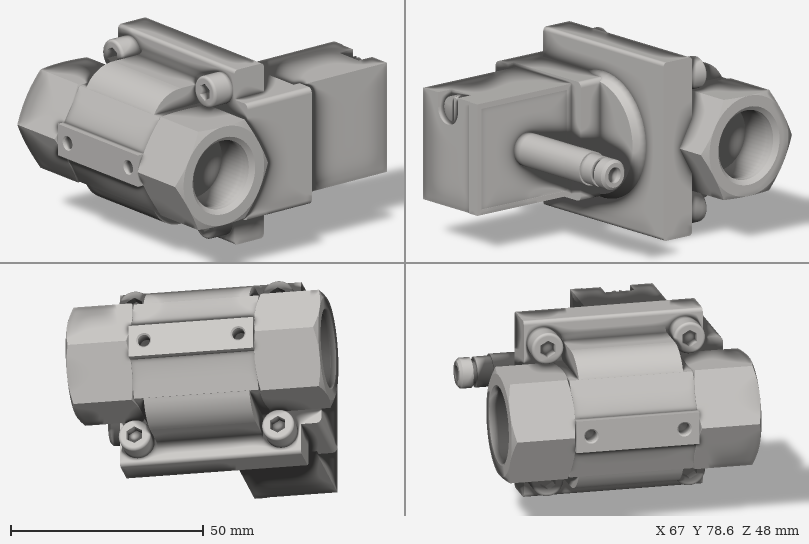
import cadquery as cq
import math


BODY_LENGTH = 67.0
HEX_FLATS = 27.0
HEX_END_LENGTH = 17.2
MIDDLE_FLATS = 26.4
MIDDLE_LENGTH = 33.0
OUTER_CHAMFER_LENGTH = 1.0
OUTER_CHAMFER_DIAMETER = 27.0
INNER_CHAMFER_LENGTH = 0.8
INNER_CHAMFER_DIAMETER = 27.0
BORE_DIAMETER = 18.63
BORE_DEPTH = 12.3
BORE_MOUTH_DIAMETER = 21.0

PAD_WIDTH = 8.6
PAD_FACE_Y = -15.0
PAD_HOLE_SPACING = 25.0
PAD_HOLE_DIAMETER = 3.24
PAD_HOLE_MOUTH = 4.0
PAD_HOLE_DEPTH = 4.0

PLATE_SIDE = 48.0
PLATE_FRONT_Y = 11.3
PLATE_BACK_Y = 21.1
PLATE_EDGE_RADIUS = 1.0

CHAMBER_LENGTH = 28.0
CHAMBER_HALF_HEIGHT = 18.6
CHAMBER_ROUND_RADIUS = 10.0
CHAMBER_ROUND_Y = 1.35
CHAMBER_FILLET = 1.4
NECK_FILLET = 2.0

SCREW_SPACING_X = 38.0
SCREW_SPACING_Z = 36.0
SCREW_HEAD_DIAMETER = 8.5
SCREW_HEAD_HEIGHT = 6.0
SCREW_HEAD_ROUND = 0.75
SOCKET_FLATS = 4.0
SOCKET_DEPTH = 3.0

BOSS_BASE_DIAMETER = 34.1
BOSS_TOP_DIAMETER = 30.6
BOSS_HEIGHT = 3.1

HOUSING_LEFT_X = -2.3
HOUSING_RIGHT_X = 29.4
HOUSING_HEIGHT = 32.0
HOUSING_BACK_Y = 30.8
HOUSING_EDGE_RADIUS = 1.4
TAB_LEFT_X = 24.4
TAB_BACK_Y = 32.8

PLUG_LEFT_X = 1.5
PLUG_RIGHT_X = 23.5
PLUG_HEIGHT = 30.0
PLUG_BACK_Y = 62.7
LIP_BACK_Y = 63.0
LIP_LENGTH = 3.3
FRAME_WIDTH = 1.45
FRAME_DEPTH = 0.2

RECESS_X = 13.55
RECESS_WIDTH = 7.9
RECESS_FLOOR_Y = 58.1
RECESS_CENTRE_Z = 11.0
PLUG_SCREW_DIAMETER = 6.8
PLUG_SCREW_HEIGHT = 3.0
PLUG_SCREW_SLOT_WIDTH = 1.0
PLUG_SCREW_SLOT_DEPTH = 1.8

CABLE_Y = 45.85
CABLE_DIAMETER = 8.9
SLEEVE_DIAMETER = 9.0
SLEEVE_START_X = -18.5
TIP_START_X = -24.35
TIP_DIAMETER = 8.1
TIP_END_X = -33.3
TIP_CHAMFER = 0.75
GROOVE_START_X = -28.6
GROOVE_WIDTH = 1.1
GROOVE_DIAMETER = 6.0
CABLE_HOLE_DIAMETER = 4.3
CABLE_HOLE_DEPTH = 5.0

DRILL_POINT_ANGLE = 118.0


def box(x_range, y_range, z_range):
    """Box spanning the given (low, high) ranges."""
    size = [high - low for low, high in (x_range, y_range, z_range)]
    return cq.Workplane("XY").box(*size, centered=False).translate((x_range[0], y_range[0], z_range[0]))


def centred(length):
    return (-length / 2, length / 2)


def rod(start, direction, diameter, length):
    return cq.Workplane(cq.Solid.makeCylinder(diameter / 2, length, cq.Vector(*start), cq.Vector(*direction)))


def cone(start, direction, start_diameter, end_diameter, length):
    solid = cq.Solid.makeCone(
        start_diameter / 2, end_diameter / 2, length, cq.Vector(*start), cq.Vector(*direction)
    )
    return cq.Workplane(solid)


def drilled_hole(start, direction, diameter, depth):
    """Cylinder ending in a drill point, used as a cutting tool."""
    point_length = diameter / 2 / math.tan(math.radians(DRILL_POINT_ANGLE / 2))
    bottom = [s + d * depth for s, d in zip(start, direction)]
    return rod(start, direction, diameter, depth).union(cone(bottom, direction, diameter, 0, point_length))


def hex_bar(flats, x_start, length):
    """Hexagonal bar along X with two flats facing up and down."""
    corners = flats / math.cos(math.pi / 6)
    return cq.Workplane("YZ").polygon(6, corners).extrude(length).translate((x_start, 0, 0))


def turning_blank(x_outer, x_inner):
    """Round blank whose conical ends trim the corners of a left hexagonal end."""
    corner_radius = HEX_FLATS / math.cos(math.pi / 6) / 2
    return (
        cq.Workplane("XY")
        .moveTo(x_outer, 0)
        .lineTo(x_outer, OUTER_CHAMFER_DIAMETER / 2)
        .lineTo(x_outer + OUTER_CHAMFER_LENGTH, corner_radius)
        .lineTo(x_inner - INNER_CHAMFER_LENGTH, corner_radius)
        .lineTo(x_inner, INNER_CHAMFER_DIAMETER / 2)
        .lineTo(x_inner, 0)
        .close()
        .revolve(360, (0, 0, 0), (1, 0, 0))
    )


def make_pipe_body():
    """Smaller hexagon, cut flush with the pad face, between two chamfered hexagonal ends."""
    x_outer = -BODY_LENGTH / 2
    x_inner = x_outer + HEX_END_LENGTH
    left_end = hex_bar(HEX_FLATS, x_outer, HEX_END_LENGTH).intersect(turning_blank(x_outer, x_inner))
    body = hex_bar(MIDDLE_FLATS, -MIDDLE_LENGTH / 2, MIDDLE_LENGTH)
    body = body.intersect(box(centred(MIDDLE_LENGTH), (PAD_FACE_Y, HEX_FLATS), centred(HEX_FLATS)))
    return body.union(left_end).union(left_end.mirror("YZ"))


def cut_bores(part):
    for side in (-1, 1):
        mouth = (side * BODY_LENGTH / 2, 0, 0)
        inward = (-side, 0, 0)
        chamfer = (BORE_MOUTH_DIAMETER - BORE_DIAMETER) / 2
        part = part.cut(rod(mouth, inward, BORE_DIAMETER, BORE_DEPTH))
        part = part.cut(cone(mouth, inward, BORE_MOUTH_DIAMETER, BORE_DIAMETER, chamfer))
    return part


def make_pad():
    return box(centred(MIDDLE_LENGTH), (PAD_FACE_Y, 0), centred(PAD_WIDTH))


def cut_pad_holes(part):
    countersink = (PAD_HOLE_MOUTH - PAD_HOLE_DIAMETER) / 2
    for x in centred(PAD_HOLE_SPACING):
        mouth = (x, PAD_FACE_Y, 0)
        part = part.cut(drilled_hole(mouth, (0, 1, 0), PAD_HOLE_DIAMETER, PAD_HOLE_DEPTH))
        part = part.cut(cone(mouth, (0, 1, 0), PAD_HOLE_MOUTH, PAD_HOLE_DIAMETER, countersink))
    return part


def make_plate():
    plate = box(centred(PLATE_SIDE), (PLATE_FRONT_Y, PLATE_BACK_Y), centred(PLATE_SIDE))
    return plate.edges("|X").fillet(PLATE_EDGE_RADIUS)


def flared_half(length, half_height, fillet, front_y, round_radius=0):
    """Upper half of a block that flares into the plate with a concave fillet.

    The top runs from front_y to the plate; a round_radius adds a quarter round in front of it.
    """
    fillet_sag = fillet * (1 - math.sqrt(0.5))
    profile = cq.Workplane("YZ").moveTo(front_y - round_radius, 0)
    if round_radius > 0:
        round_sag = round_radius * (1 - math.sqrt(0.5))
        profile = profile.lineTo(front_y - round_radius, half_height - round_radius)
        profile = profile.threePointArc(
            (front_y - round_radius + round_sag, half_height - round_sag),
            (front_y, half_height),
        )
    else:
        profile = profile.lineTo(front_y, half_height)
    return (
        profile.lineTo(PLATE_FRONT_Y - fillet, half_height)
        .threePointArc(
            (PLATE_FRONT_Y - fillet_sag, half_height + fillet_sag),
            (PLATE_FRONT_Y, half_height + fillet),
        )
        .lineTo(PLATE_FRONT_Y, 0)
        .close()
        .extrude(length / 2, both=True)
    )


def make_chamber():
    """Chamber with rounded front shoulders, and the longer, lower neck behind the pipe."""
    block = flared_half(
        CHAMBER_LENGTH, CHAMBER_HALF_HEIGHT, CHAMBER_FILLET, CHAMBER_ROUND_Y, CHAMBER_ROUND_RADIUS
    )
    neck = flared_half(MIDDLE_LENGTH, MIDDLE_FLATS / 2, NECK_FILLET, 0)
    upper = block.union(neck)
    return upper.union(upper.mirror("XY"))


def make_cover_screw(x, z):
    top_y = PLATE_FRONT_Y - SCREW_HEAD_HEIGHT
    head = rod((x, top_y, z), (0, 1, 0), SCREW_HEAD_DIAMETER, SCREW_HEAD_HEIGHT)
    head = head.faces("<Y").edges().fillet(SCREW_HEAD_ROUND)
    socket = (
        cq.Workplane("XZ")
        .polygon(6, SOCKET_FLATS / math.cos(math.pi / 6))
        .extrude(-SOCKET_DEPTH)
        .rotate((0, 0, 0), (0, 1, 0), 30)
        .translate((x, top_y, z))
    )
    return head.cut(socket)


def make_boss():
    return cone((0, PLATE_BACK_Y, 0), (0, 1, 0), BOSS_BASE_DIAMETER, BOSS_TOP_DIAMETER, BOSS_HEIGHT)


def make_housing():
    z_range = centred(HOUSING_HEIGHT)
    housing = box((HOUSING_LEFT_X, HOUSING_RIGHT_X), (PLATE_FRONT_Y, TAB_BACK_Y), z_range)
    housing = housing.edges("|Y").fillet(HOUSING_EDGE_RADIUS)
    return housing.cut(box((HOUSING_LEFT_X, TAB_LEFT_X), (HOUSING_BACK_Y, TAB_BACK_Y), z_range))


def make_plug():
    z_range = centred(PLUG_HEIGHT)
    plug = box((PLUG_LEFT_X, PLUG_RIGHT_X), (HOUSING_BACK_Y, PLUG_BACK_Y), z_range)
    lip = box((PLUG_LEFT_X, PLUG_LEFT_X + LIP_LENGTH), (HOUSING_BACK_Y, LIP_BACK_Y), z_range)
    panel = box(
        (PLUG_LEFT_X, PLUG_LEFT_X + FRAME_DEPTH),
        (HOUSING_BACK_Y + FRAME_WIDTH, LIP_BACK_Y - FRAME_WIDTH),
        centred(PLUG_HEIGHT - 2 * FRAME_WIDTH),
    )
    return plug.union(lip).cut(panel)


def cut_plug_recess(plug):
    """U-shaped recess, open at the top and back, with a slotted screw head in it."""
    floor_centre = (RECESS_X, RECESS_FLOOR_Y, RECESS_CENTRE_Z)
    depth = LIP_BACK_Y - RECESS_FLOOR_Y
    opening = box(
        (RECESS_X - RECESS_WIDTH / 2, RECESS_X + RECESS_WIDTH / 2),
        (RECESS_FLOOR_Y, LIP_BACK_Y),
        (RECESS_CENTRE_Z, PLUG_HEIGHT / 2),
    )
    recess = rod(floor_centre, (0, 1, 0), RECESS_WIDTH, depth).union(opening)
    head_top_y = RECESS_FLOOR_Y + PLUG_SCREW_HEIGHT
    slot = box(
        (RECESS_X - PLUG_SCREW_SLOT_WIDTH / 2, RECESS_X + PLUG_SCREW_SLOT_WIDTH / 2),
        (head_top_y - PLUG_SCREW_SLOT_DEPTH, head_top_y),
        (RECESS_CENTRE_Z - PLUG_SCREW_DIAMETER / 2, RECESS_CENTRE_Z + PLUG_SCREW_DIAMETER / 2),
    )
    head = rod(floor_centre, (0, 1, 0), PLUG_SCREW_DIAMETER, PLUG_SCREW_HEIGHT).cut(slot)
    return plug.cut(recess).union(head)


def make_cable_outlet():
    def section(x_start, x_end, diameter):
        return rod((x_start, CABLE_Y, 0), (-1, 0, 0), diameter, x_start - x_end)

    root_x = PLUG_LEFT_X + FRAME_DEPTH
    groove_end_x = GROOVE_START_X - GROOVE_WIDTH
    outlet = section(root_x, SLEEVE_START_X, CABLE_DIAMETER)
    outlet = outlet.union(section(SLEEVE_START_X, TIP_START_X, SLEEVE_DIAMETER))
    outlet = outlet.union(section(TIP_START_X, GROOVE_START_X, TIP_DIAMETER))
    outlet = outlet.union(section(GROOVE_START_X, groove_end_x, GROOVE_DIAMETER))
    end_collar = section(groove_end_x, TIP_END_X, TIP_DIAMETER).faces("<X").chamfer(TIP_CHAMFER)
    hole = drilled_hole((TIP_END_X, CABLE_Y, 0), (1, 0, 0), CABLE_HOLE_DIAMETER, CABLE_HOLE_DEPTH)
    return outlet.union(end_collar).cut(hole)


def make_valve():
    valve = make_pipe_body().union(make_pad()).union(make_chamber()).union(make_plate())
    for x in centred(SCREW_SPACING_X):
        for z in centred(SCREW_SPACING_Z):
            valve = valve.union(make_cover_screw(x, z))
    valve = valve.union(make_boss()).union(make_housing())
    valve = valve.union(cut_plug_recess(make_plug())).union(make_cable_outlet())
    return cut_pad_holes(cut_bores(valve))


result = make_valve()